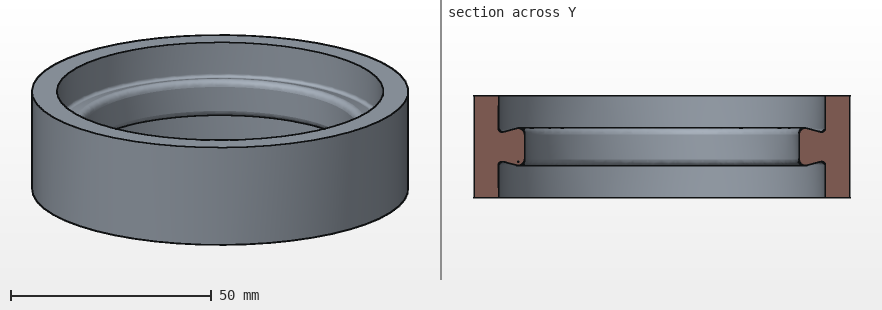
import cadquery as cq
import math


outer_diameter = 93.62
height = 25.4
counterbore_diameter = 81.2
bore_diameter = 68.2
seat_angle = 15.0
rib_root_height = 6.9
rib_crest_radius = 1.5875
rib_root_radius = 0.85

outer_radius = outer_diameter / 2
counterbore_radius = counterbore_diameter / 2
bore_radius = bore_diameter / 2
half_height = height / 2
rib_root_z = rib_root_height / 2
seat_rise = (counterbore_radius - bore_radius) * math.tan(math.radians(seat_angle))
rib_crest_z = rib_root_z + seat_rise


def make_sharp_ring():
    """Revolve the cross-section of the ring with its rib still sharp."""
    section = [
        (outer_radius, -half_height),
        (outer_radius, half_height),
        (counterbore_radius, half_height),
        (counterbore_radius, rib_root_z),
        (bore_radius, rib_crest_z),
        (bore_radius, -rib_crest_z),
        (counterbore_radius, -rib_root_z),
        (counterbore_radius, -half_height),
    ]
    return cq.Workplane("XZ").polyline(section).close().revolve(360, (0, 0, 0), (0, 1, 0))


def round_circles(body, circle_radius, circle_z, fillet_radius):
    """Fillet the two circular edges of one radius at +circle_z and -circle_z."""
    tolerance = 0.01

    def is_wanted(edge):
        on_radius = abs(edge.radius() - circle_radius) < tolerance
        at_height = abs(abs(edge.Center().z) - circle_z) < tolerance
        return on_radius and at_height

    circles = [edge for edge in body.edges("%CIRCLE").vals() if is_wanted(edge)]
    return body.newObject(circles).fillet(fillet_radius)


ring = make_sharp_ring()
ring = round_circles(ring, bore_radius, rib_crest_z, rib_crest_radius)
result = round_circles(ring, counterbore_radius, rib_root_z, rib_root_radius)